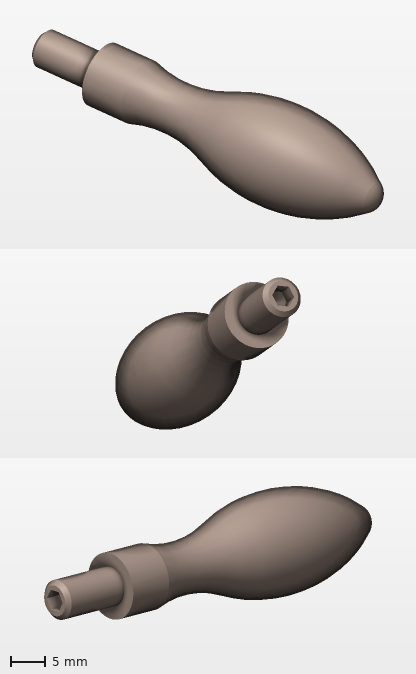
import cadquery as cq
import math

total_length = 61.0
stud_diameter = 6.0
stud_length = 10.9
stud_chamfer = 0.7
collar_diameter = 10.0
collar_end = 17.95
waist_x = 23.85
waist_radius = 4.0
bulb_start = 31.65
bulb_start_radius = 5.55
bulb_peak_x = 42.7
bulb_peak_diameter = 15.9
tip_start = 59.8
tip_rim_radius = 2.4

socket_width = 3.0
socket_depth = 3.0
drill_point_angle = 120.0


def make_handle():
    """Revolve the half profile about the X axis."""
    stud_radius = stud_diameter / 2
    collar_radius = collar_diameter / 2

    tip_height = total_length - tip_start
    tip_radius = (tip_rim_radius**2 + tip_height**2) / (2 * tip_height)
    tip_center = total_length - tip_radius
    half_angle = math.asin(tip_rim_radius / tip_radius) / 2
    tip_middle = (
        tip_center + tip_radius * math.cos(half_angle),
        tip_radius * math.sin(half_angle),
    )

    return (
        cq.Workplane("XY")
        .moveTo(0, 0)
        .lineTo(0, stud_radius - stud_chamfer)
        .lineTo(stud_chamfer, stud_radius)
        .lineTo(stud_length, stud_radius)
        .lineTo(stud_length, collar_radius)
        .lineTo(collar_end, collar_radius)
        .threePointArc((waist_x, waist_radius), (bulb_start, bulb_start_radius))
        .threePointArc((bulb_peak_x, bulb_peak_diameter / 2), (tip_start, tip_rim_radius))
        .threePointArc(tip_middle, (total_length, 0))
        .close()
        .revolve(360, (0, 0, 0), (1, 0, 0))
    )


def make_socket():
    """Hexagon with flats facing +Z and -Z, ending in a drill point."""
    corner_diameter = socket_width / math.cos(math.radians(30))
    hexagon = cq.Workplane("YZ").polygon(6, corner_diameter).extrude(socket_depth)

    cone_radius = socket_width / 2
    cone_depth = cone_radius / math.tan(math.radians(drill_point_angle / 2))
    drill_point = cq.Workplane(
        cq.Solid.makeCone(
            cone_radius, 0, cone_depth, cq.Vector(socket_depth, 0, 0), cq.Vector(1, 0, 0)
        )
    )
    return hexagon.union(drill_point)


result = make_handle().cut(make_socket())